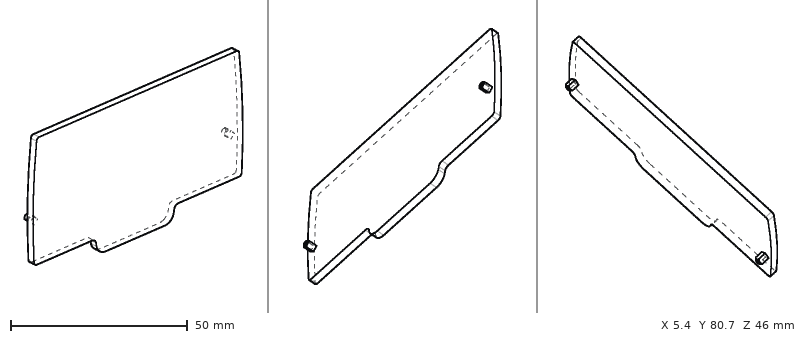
import cadquery as cq
import math

width = 80.65
height = 46.05
thickness = 2.4
shoulder_z = 5.3
corner_radius = 1.05

side_radius = 229.85
side_bulge_z = 19.9

tab_width = 30.6
tab_wall_tilt = 10.0
tab_center_y = -1.05
tab_corner_radius = 3.55
tab_root_radius = 1.45

pin_length = 3.0
pin_diagonal = 2.75
pin_tip_diameter = 1.6
pin_taper_length = 0.5
pin_spacing = 75.65
pin_z = 18.3


def side_y(z):
    """Half width of the plate at height z."""
    return width / 2 - side_radius + math.sqrt(side_radius**2 - (z - side_bulge_z) ** 2)


def make_plate():
    top_y = side_y(height)
    bottom_y = side_y(shoulder_z)
    body = (
        cq.Workplane("YZ")
        .moveTo(-bottom_y, shoulder_z)
        .lineTo(bottom_y, shoulder_z)
        .threePointArc((width / 2, side_bulge_z), (top_y, height))
        .lineTo(-top_y, height)
        .threePointArc((-width / 2, side_bulge_z), (-bottom_y, shoulder_z))
        .close()
        .extrude(thickness)
        .edges("|X")
        .fillet(corner_radius)
    )
    tab_top_z = 2 * shoulder_z
    tab_half_width = tab_width / 2
    wall_run = shoulder_z * math.tan(math.radians(tab_wall_tilt))
    tab_bottom_y = tab_half_width - wall_run
    tab_top_y = tab_half_width + wall_run
    tab = (
        cq.Workplane("YZ")
        .center(tab_center_y, 0)
        .polyline(
            [
                (-tab_bottom_y, 0),
                (tab_bottom_y, 0),
                (tab_top_y, tab_top_z),
                (-tab_top_y, tab_top_z),
            ]
        )
        .close()
        .extrude(thickness)
        .edges("|X and <Z")
        .fillet(tab_corner_radius)
    )
    root_margin = 0.1
    root_edges = cq.selectors.BoxSelector(
        (0, tab_center_y - tab_width, shoulder_z - root_margin),
        (thickness, tab_center_y + tab_width, shoulder_z + root_margin),
    )
    return body.union(tab).edges("|X").edges(root_edges).fillet(tab_root_radius)


def make_pin(y):
    pin_side = pin_diagonal / math.sqrt(2)
    square_bar = (
        cq.Workplane("YZ", origin=(0, y, pin_z))
        .transformed(rotate=(0, 0, 45))
        .rect(pin_side, pin_side)
        .extrude(-pin_length)
    )
    tapered_round = (
        cq.Workplane("XY", origin=(0, y, pin_z))
        .moveTo(0, 0)
        .lineTo(0, pin_diagonal / 2)
        .lineTo(pin_taper_length - pin_length, pin_diagonal / 2)
        .lineTo(-pin_length, pin_tip_diameter / 2)
        .lineTo(-pin_length, 0)
        .close()
        .revolve(360, (0, 0, 0), (1, 0, 0))
    )
    return square_bar.intersect(tapered_round)


result = make_plate()
for side in (-1, 1):
    result = result.union(make_pin(side * pin_spacing / 2))